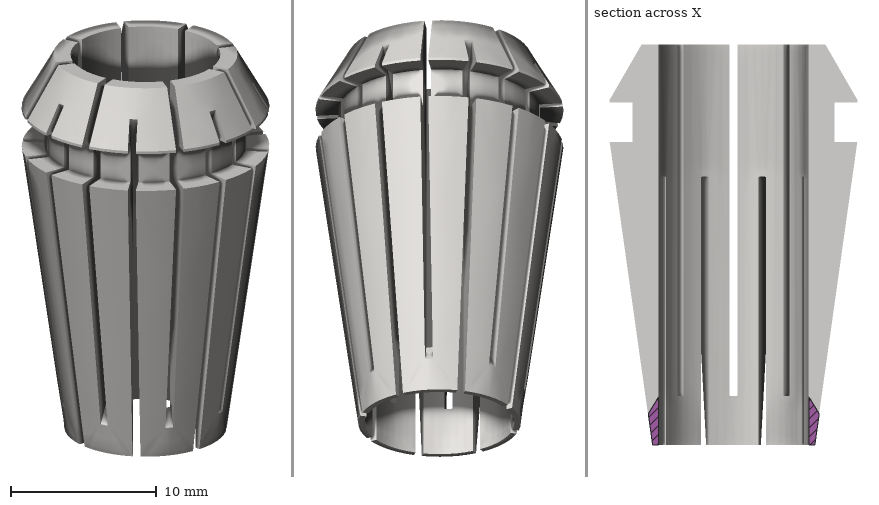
import cadquery as cq
import math

height = 27.5
outer_radius = 8.5
bore_radius = 5.15
body_taper = math.radians(8)
body_top = 20.8
body_end_radius = outer_radius - body_top * math.tan(body_taper)

groove_radius = 6.93
rim_bottom = 23.5
rim_height = 0.2
rim_top = rim_bottom + rim_height
head_taper = math.radians(30)
head_end_radius = outer_radius - (height - rim_top) * math.tan(head_taper)

slot_count = 8
slot_spacing = 360 / slot_count
slot_width = 0.55
blade_radius = 25.0
arc_overrun = math.radians(15)
top_slot_floor = 2.17
bottom_slot_ceiling = 25.63
top_slot_slope = math.radians(57)
bottom_slot_slope = math.radians(64)
clearance = 1.38


def make_body():
    """Revolve the wall section between the bore and the outside."""
    section = [
        (bore_radius, 0),
        (body_end_radius, 0),
        (outer_radius, body_top),
        (groove_radius, body_top),
        (groove_radius, rim_bottom),
        (outer_radius, rim_bottom),
        (outer_radius, rim_top),
        (head_end_radius, height),
        (bore_radius, height),
    ]
    return cq.Workplane("XZ").polyline(section).close().revolve(360, (0, 0, 0), (0, 1, 0))


def make_slot(end_radius, end_height, end_slope, open_height):
    """Radial cutter along +X, closed by a saw-blade arc that crosses the outside at the given point.

    The slot runs from its closed end to open_height. Towards the axis the arc
    steepens until it is vertical, inside the bore.
    """
    direction = math.copysign(1, open_height - end_height)
    centre_radius = end_radius + blade_radius * math.sin(end_slope)
    centre_height = end_height + direction * blade_radius * math.cos(end_slope)

    def arc_point(slope):
        return (
            centre_radius - blade_radius * math.sin(slope),
            centre_height - direction * blade_radius * math.cos(slope),
        )

    inner = arc_point(math.pi / 2)
    outer = arc_point(end_slope - arc_overrun)
    section = (
        cq.Workplane("XZ")
        .moveTo(inner[0], open_height)
        .lineTo(*inner)
        .threePointArc(arc_point(end_slope), outer)
        .lineTo(outer[0], open_height)
        .close()
    )
    return section.extrude(slot_width / 2, both=True)


def cut_around(body, slot, start_angle):
    """Cut evenly spaced copies of a slot around the axis."""
    for index in range(slot_count):
        angle = start_angle + index * slot_spacing
        body = body.cut(slot.rotate((0, 0, 0), (0, 0, 1), angle))
    return body


floor_radius = body_end_radius + top_slot_floor * math.tan(body_taper)
top_slot = make_slot(floor_radius, top_slot_floor, top_slot_slope, height + clearance)

ceiling_radius = head_end_radius + (height - bottom_slot_ceiling) * math.tan(head_taper)
bottom_slot = make_slot(ceiling_radius, bottom_slot_ceiling, bottom_slot_slope, -clearance)

result = make_body()
result = cut_around(result, top_slot, 0)
result = cut_around(result, bottom_slot, slot_spacing / 2)